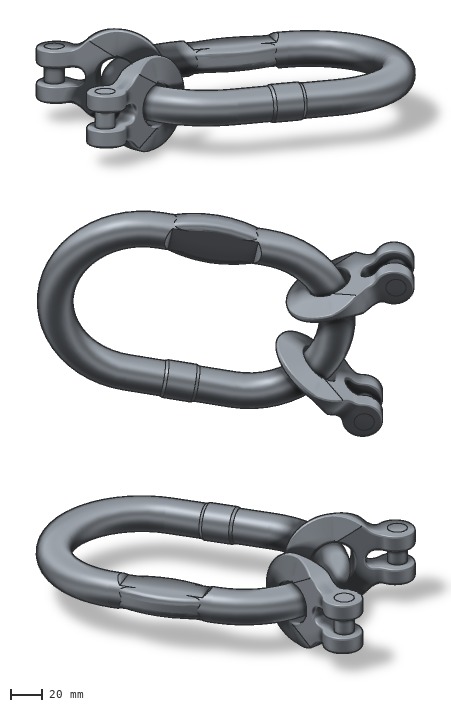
import cadquery as cq
import math

WIRE_DIAMETER = 23.0
RING_INNER_WIDTH = 90.0
STRAIGHT_LENGTH = 70.0
wire_radius = WIRE_DIAMETER / 2
bend_radius = RING_INNER_WIDTH / 2 + wire_radius
half_straight = STRAIGHT_LENGTH / 2

COLLAR_DIAMETER = 24.7
COLLAR_LENGTH = 22.5
COLLAR_TAPER_LENGTH = 2.1

FLAT_HALF_THICKNESS = 8.0
FLAT_HALF_LENGTH = 28.0
SWELL_WIDTH = 31.8
SWELL_ARC_RADIUS = 79.1
SWELL_EDGE_RADIUS = 5.5
swell_half_width = SWELL_WIDTH / 2

PIN_X = 53.5
OVERALL_LENGTH = 235.5
TILT = 30.0
EYE_DISTANCE = 43.0
EYE_DIAMETER = 63.0
EYE_HOLE_DIAMETER = 28.0
HOLE_ROUNDING = 1.6
PLATE_HALF_THICKNESS = 7.5
RIM_HALF_THICKNESS = 1.77
OUTLINE_ROUNDING = 1.6
FACET_ANGLE = 30.0
eye_radius = EYE_DIAMETER / 2
taper_start_radius = EYE_HOLE_DIAMETER / 2
taper_slope = (PLATE_HALF_THICKNESS - RIM_HALF_THICKNESS) / (eye_radius - taper_start_radius)

LUG_DIAMETER = 26.0
LUG_CENTRE_SHIFT = 1.5
LUG_SPAN = 35.0
LUG_GAP = 12.0
SLOT_ROUNDING = 2.0
NECK_START = 10.4
NECK_FILLET_RADIUS = 9.0
SLOT_DEPTH = 22.0
lug_radius = LUG_DIAMETER / 2
lug_half_span = LUG_SPAN / 2
lowest_y = half_straight + bend_radius + wire_radius - OVERALL_LENGTH
pin_y = lowest_y + lug_radius - LUG_CENTRE_SHIFT * math.cos(math.radians(TILT))

PIN_DIAMETER = 13.0

TOUCH = 0.05
CUT_MARGIN = 2.4


def ring_body():
    loop = (
        cq.Workplane("XY")
        .moveTo(bend_radius, -half_straight)
        .lineTo(bend_radius, half_straight)
        .threePointArc((0, half_straight + bend_radius), (-bend_radius, half_straight))
        .lineTo(-bend_radius, -half_straight)
        .threePointArc((0, -half_straight - bend_radius), (bend_radius, -half_straight))
        .close()
    )
    wire = (
        cq.Workplane("XZ", origin=(bend_radius, -half_straight, 0))
        .circle(wire_radius)
        .sweep(loop)
    )
    for side in (1, -1):
        wire = wire.cut(flat_cutter(side))
    return wire.union(weld_collar()).union(swelling())


def weld_collar():
    half_length = COLLAR_LENGTH / 2
    shoulder = half_length - COLLAR_TAPER_LENGTH
    collar_radius = COLLAR_DIAMETER / 2
    half_section = [
        (0, -half_length),
        (wire_radius, -half_length),
        (collar_radius, -shoulder),
        (collar_radius, shoulder),
        (wire_radius, half_length),
        (0, half_length),
    ]
    collar = cq.Workplane("XY").polyline(half_section).close().revolve(360, (0, 0), (0, 1))
    return collar.translate((bend_radius, 0, 0))


def flat_cutter(side):
    """Prism that flattens the wire on its +Z or -Z side, with a 45 degree ramp at either end."""
    height = WIRE_DIAMETER
    top_half_length = FLAT_HALF_LENGTH + height
    top = FLAT_HALF_THICKNESS + height
    section = [
        (-FLAT_HALF_LENGTH, side * FLAT_HALF_THICKNESS),
        (FLAT_HALF_LENGTH, side * FLAT_HALF_THICKNESS),
        (top_half_length, side * top),
        (-top_half_length, side * top),
    ]
    prism = cq.Workplane("YZ").polyline(section).close().extrude(wire_radius, both=True)
    return prism.translate((-bend_radius, 0, 0))


def swelling():
    """Lens-shaped plate with rounded long edges around the flattened stretch."""
    arc_drop = SWELL_ARC_RADIUS - math.sqrt(SWELL_ARC_RADIUS**2 - FLAT_HALF_LENGTH**2)
    end_half_width = swell_half_width - arc_drop
    lens = (
        cq.Workplane("XY")
        .moveTo(-end_half_width, -FLAT_HALF_LENGTH)
        .lineTo(end_half_width, -FLAT_HALF_LENGTH)
        .threePointArc((swell_half_width, 0), (end_half_width, FLAT_HALF_LENGTH))
        .lineTo(-end_half_width, FLAT_HALF_LENGTH)
        .threePointArc((-swell_half_width, 0), (-end_half_width, -FLAT_HALF_LENGTH))
        .close()
        .extrude(FLAT_HALF_THICKNESS, both=True)
        .edges("%CIRCLE")
        .fillet(SWELL_EDGE_RADIUS)
    )
    return lens.translate((-bend_radius, 0, 0))


def clevis_side_profile():
    """Outline in the XZ plane: round eye, concave necks and the two lugs as one block."""
    lug_end = LUG_CENTRE_SHIFT - lug_radius
    neck_run = EYE_DISTANCE - NECK_START
    neck_radius = (neck_run**2 + lug_half_span**2 - eye_radius**2) / (2 * (eye_radius - lug_half_span))
    neck_centre_z = lug_half_span + neck_radius
    angle = math.atan2(neck_centre_z, neck_run)
    tangent_x = EYE_DISTANCE - eye_radius * math.cos(angle)
    tangent_z = eye_radius * math.sin(angle)
    arc_start = math.radians(270)
    arc_end = math.radians(360) - angle
    middle = (arc_start + arc_end) / 2
    middle_x = NECK_START + neck_radius * math.cos(middle)
    middle_z = neck_centre_z + neck_radius * math.sin(middle)
    return (
        cq.Workplane("XZ")
        .moveTo(lug_end, lug_half_span)
        .lineTo(NECK_START, lug_half_span)
        .threePointArc((middle_x, middle_z), (tangent_x, tangent_z))
        .threePointArc((EYE_DISTANCE + eye_radius, 0), (tangent_x, -tangent_z))
        .threePointArc((middle_x, -middle_z), (NECK_START, -lug_half_span))
        .lineTo(lug_end, -lug_half_span)
        .close()
        .extrude(lug_radius, both=True)
    )


def clevis_plan_profile():
    """Outline in the XY plane: round lug running through concave fillets into a parallel plate."""
    plate_length = EYE_DISTANCE + EYE_DIAMETER - LUG_CENTRE_SHIFT
    plate = (
        cq.Workplane("XY")
        .rect(plate_length, 2 * PLATE_HALF_THICKNESS)
        .extrude(eye_radius, both=True)
        .translate((LUG_CENTRE_SHIFT + plate_length / 2, 0, 0))
    )
    lug = cq.Workplane("XY").circle(lug_radius).extrude(eye_radius, both=True)
    blank = plate.union(lug.translate((LUG_CENTRE_SHIFT, 0, 0)))
    junction_x = LUG_CENTRE_SHIFT + math.sqrt(lug_radius**2 - PLATE_HALF_THICKNESS**2)
    near_junction = cq.selectors.BoxSelector(
        (junction_x - TOUCH, -lug_radius, -eye_radius),
        (junction_x + TOUCH, lug_radius, eye_radius),
    )
    return blank.edges("|Z").edges(near_junction).fillet(NECK_FILLET_RADIUS)


def eye_taper_cutter():
    """Half ring that thins the tip side of the eye conically towards its rim, on the +Y face."""
    outer = eye_radius + CUT_MARGIN
    depth = taper_slope * (outer - taper_start_radius)
    section = [
        (taper_start_radius, PLATE_HALF_THICKNESS),
        (outer, PLATE_HALF_THICKNESS - depth),
        (outer, PLATE_HALF_THICKNESS + CUT_MARGIN),
        (taper_start_radius, PLATE_HALF_THICKNESS + CUT_MARGIN),
    ]
    half_ring = (
        cq.Workplane("XY")
        .polyline(section)
        .close()
        .revolve(180, (0, 0), (0, 1))
        .rotate((0, 0, 0), (0, 1, 0), -90)
    )
    return half_ring.translate((EYE_DISTANCE, 0, 0))


def facet_cutter():
    """Wedge that continues the taper as a plane facet on the pin side, on the +Y face above the axis."""
    angle = math.radians(FACET_ANGLE)
    reach = eye_radius
    depth = reach * taper_slope / math.cos(angle)
    fold_line = cq.Plane(
        origin=(EYE_DISTANCE, PLATE_HALF_THICKNESS, taper_start_radius),
        xDir=(math.sin(angle), 0, math.cos(angle)),
        normal=(-math.cos(angle), 0, math.sin(angle)),
    )
    wedge = (
        cq.Workplane(fold_line)
        .polyline([(0, 0), (reach, -depth), (reach, CUT_MARGIN), (0, CUT_MARGIN)])
        .close()
        .extrude(EYE_DIAMETER, both=True)
    )
    pin_side = cq.Workplane("XY").box(
        EYE_DISTANCE, EYE_DIAMETER, 2 * EYE_DIAMETER, centered=(False, True, True)
    )
    return wedge.intersect(pin_side)


def facets():
    """The facet cutters on both faces of the plate, above and below the clevis axis."""
    upper = facet_cutter()
    lower = upper.mirror("XY")
    return [upper, upper.mirror("XZ"), lower, lower.mirror("XZ")]


def eye_hole():
    hole = cq.Workplane("XZ").circle(EYE_HOLE_DIAMETER / 2).extrude(lug_radius, both=True)
    return hole.translate((EYE_DISTANCE, 0, 0))


def lug_slot():
    """Round-bottomed slot that parts the two lugs."""
    half_gap = LUG_GAP / 2
    end_centre_x = SLOT_DEPTH - half_gap
    return (
        cq.Workplane("XZ")
        .moveTo(-lug_radius, half_gap)
        .lineTo(end_centre_x, half_gap)
        .threePointArc((SLOT_DEPTH, 0), (end_centre_x, -half_gap))
        .lineTo(-lug_radius, -half_gap)
        .close()
        .extrude(lug_radius, both=True)
    )


def pin_hole():
    return cq.Workplane("XY").circle(PIN_DIAMETER / 2).extrude(lug_half_span, both=True)


def round_edges(body, belongs, radius):
    """Fillet the edges whose midpoint passes the test; edges along Y are smooth joins and stay."""
    chosen = [edge for edge in body.edges("not |Y").vals() if belongs(edge.positionAt(0.5))]
    return body.newObject(chosen).fillet(radius)


def distance_from_eye(point):
    return math.hypot(point.x - EYE_DISTANCE, point.z)


def on_outline(point):
    """True along the rim of the eye and along the outer edges of the necks and lugs."""
    pin_side = point.x < EYE_DISTANCE - taper_start_radius
    on_face = abs(point.y) > PLATE_HALF_THICKNESS - TOUCH or point.x < 0
    on_lug_or_neck = pin_side and on_face and abs(point.z) > lug_half_span - TOUCH
    on_rim = abs(distance_from_eye(point) - eye_radius) < TOUCH
    return on_rim or on_lug_or_neck


def on_slot(point):
    return point.x < SLOT_DEPTH + TOUCH and abs(point.z) < LUG_GAP / 2 + TOUCH


def on_eye_hole(point):
    return abs(distance_from_eye(point) - EYE_HOLE_DIAMETER / 2) < TOUCH


def clevis_body():
    body = clevis_side_profile().intersect(clevis_plan_profile())
    taper = eye_taper_cutter()
    for cutter in [taper, taper.mirror("XZ"), *facets(), eye_hole(), lug_slot()]:
        body = body.cut(cutter)
    body = round_edges(body, on_eye_hole, HOLE_ROUNDING)
    body = round_edges(body, on_slot, SLOT_ROUNDING)
    body = round_edges(body, on_outline, OUTLINE_ROUNDING)
    return body.cut(pin_hole())


def clevis_pin():
    return cq.Workplane("XY").workplane(offset=-lug_half_span).circle(PIN_DIAMETER / 2).extrude(LUG_SPAN)


def place(body, side):
    turned = body.rotate((0, 0, 0), (0, 0, 1), 90 + side * TILT)
    return turned.translate((side * PIN_X, pin_y, 0))


ring = ring_body()
clevis = clevis_body()
pin = clevis_pin()

bodies = [ring.val()]
for side in (-1, 1):
    bodies.append(place(clevis, side).val())
    bodies.append(place(pin, side).val())

result = cq.Compound.makeCompound(bodies)